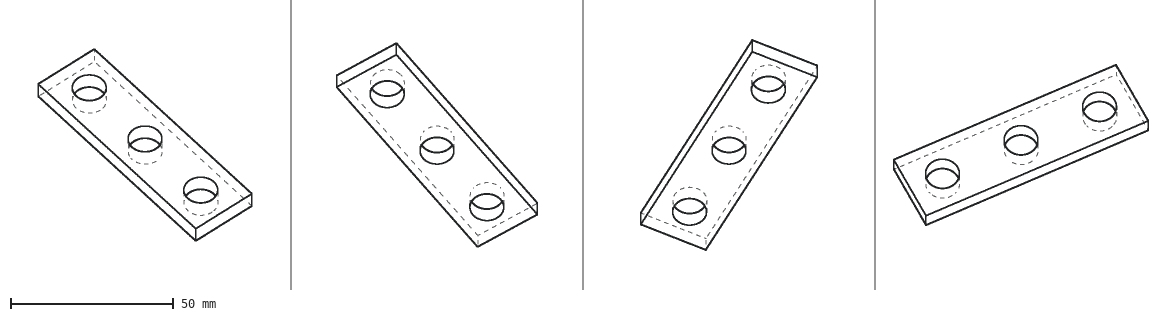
import cadquery as cq

length = 76.2
width = 22.35
thickness = 5.75

hole_diameter = 10.41
hole_count = 3
end_distance = width / 2
hole_pitch = (length - 2 * end_distance) / (hole_count - 1)


def make_bar():
    """Plain bar centred on the origin."""
    return cq.Workplane("XY").box(length, width, thickness)


def drill_holes(bar):
    """Evenly spaced through holes along X."""
    return (
        bar.faces(">Z")
        .workplane()
        .rarray(hole_pitch, width, hole_count, 1)
        .hole(hole_diameter)
    )


result = drill_holes(make_bar())